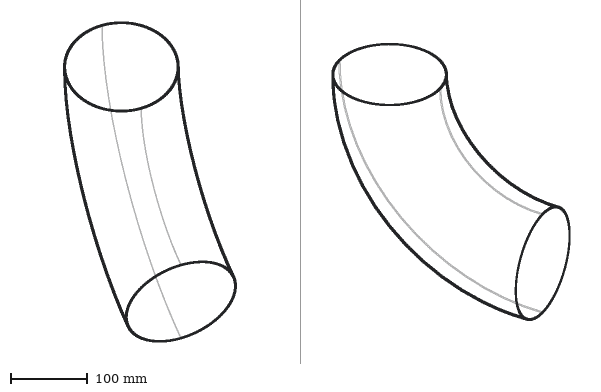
import cadquery as cq

overall_length = 300.0
inlet_diameter = 153.5
outlet_diameter = 150.0
wall = 2.0

bend_radius = overall_length - outlet_diameter / 2
bend_start = cq.Vector(0, 0, -bend_radius)
bend_end = cq.Vector(-bend_radius, 0, 0)


def circular_section(center, direction, diameter):
    """Circle of the given diameter, square to the pipe direction."""
    return cq.Wire.makeCircle(diameter / 2, center, direction)


def tapered_bend(start_diameter, end_diameter):
    """Solid quarter bend blending from one circular end to the other."""
    center_line = cq.Workplane("XZ").moveTo(bend_start.x, bend_start.z).radiusArc(
        (bend_end.x, bend_end.z), bend_radius
    )
    start_section = circular_section(bend_start, cq.Vector(-1, 0, 0), start_diameter)
    end_section = circular_section(bend_end, cq.Vector(0, 0, 1), end_diameter)
    sections = cq.Workplane("XZ").add([start_section, end_section]).toPending()
    return sections.sweep(center_line, multisection=True)


outer_bend = tapered_bend(inlet_diameter, outlet_diameter)
bore = tapered_bend(inlet_diameter - 2 * wall, outlet_diameter - 2 * wall)
result = outer_bend.cut(bore)